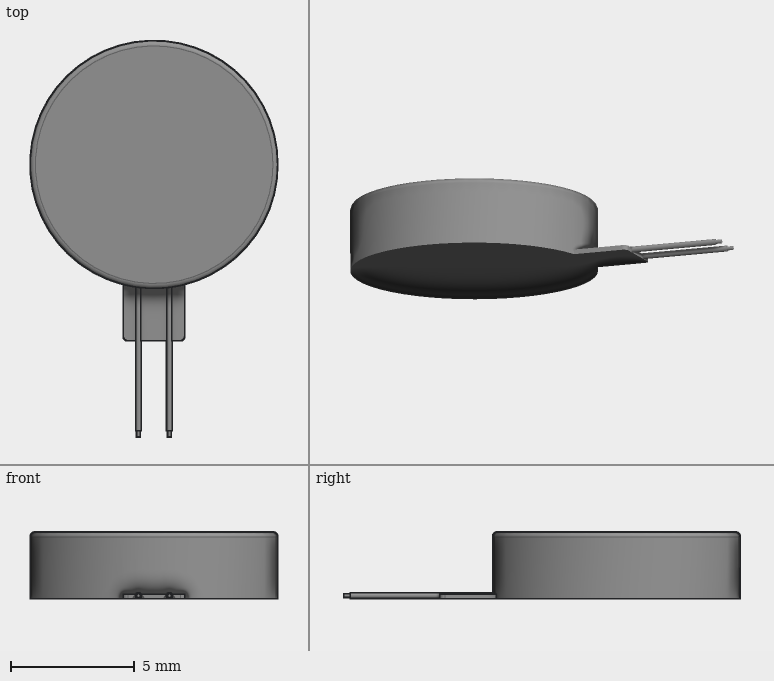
import cadquery as cq

housing_diameter = 10.0
housing_radius = housing_diameter / 2
housing_height = 2.7
rim_fillet = 0.2

tab_width = 2.5
tab_reach = 7.12
tab_thickness = 0.19
tab_corner_radius = 0.19

wire_diameter = 0.24
tip_diameter = 0.16
wire_spacing = 1.25
tip_length = 0.25
wire_floor = 0.008
wire_embed = 0.16

overall_length = 15.99
wire_start = -(housing_radius - wire_embed)
tip_end = -(overall_length - housing_radius)
insulation_end = tip_end + tip_length
wire_axis_height = wire_floor + wire_diameter / 2
wire_positions = [-wire_spacing / 2, wire_spacing / 2]


def rod(x, y_start, y_end, diameter):
    """Cylinder at wire height, running toward -Y from y_start to y_end."""
    return (
        cq.Workplane("XZ", origin=(x, y_start, wire_axis_height))
        .circle(diameter / 2)
        .extrude(y_start - y_end)
    )


def make_wire(x):
    """One lead wire with its bare tip."""
    insulated = rod(x, wire_start, insulation_end, wire_diameter)
    bare_tip = rod(x, insulation_end, tip_end, tip_diameter)
    return insulated.union(bare_tip)


def make_tab():
    """Flat tab from the housing axis outward, rounded at its free corners."""
    return (
        cq.Workplane("XY")
        .center(0, -tab_reach / 2)
        .rect(tab_width, tab_reach)
        .extrude(tab_thickness)
        .edges("|Z and <Y")
        .fillet(tab_corner_radius)
    )


def make_housing():
    """Housing with its tab, and a channel for each wire."""
    body = (
        cq.Workplane("XY")
        .circle(housing_radius)
        .extrude(housing_height)
        .faces(">Z")
        .edges()
        .fillet(rim_fillet)
        .union(make_tab())
    )
    for x in wire_positions:
        body = body.cut(rod(x, wire_start, insulation_end, wire_diameter))
    return body


housing = make_housing()
wires = [make_wire(x) for x in wire_positions]

result = cq.Compound.makeCompound([housing.solids().val(), *[wire.solids().val() for wire in wires]])